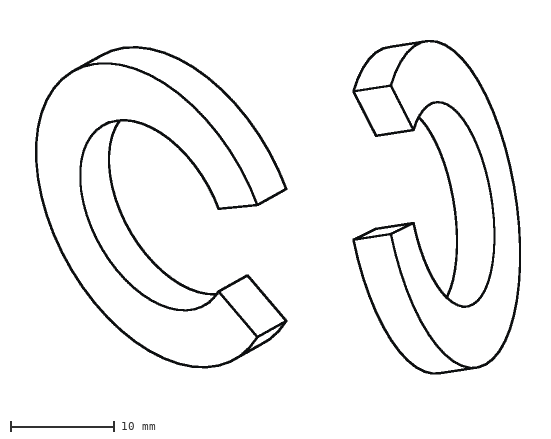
import cadquery as cq
import math

outer_radius = 16.0
inner_radius = 10.0
thickness = 4.0
gap_half_angle = math.radians(28.5)


def ring_point(radius, angle):
    """Point in the ring plane at a radius and an angle from +X."""
    return (radius * math.cos(angle), radius * math.sin(angle))


def open_ring():
    """C-shaped profile extruded evenly to both sides of the XZ plane."""
    return (
        cq.Workplane("XZ")
        .moveTo(*ring_point(outer_radius, gap_half_angle))
        .threePointArc((-outer_radius, 0), ring_point(outer_radius, -gap_half_angle))
        .lineTo(*ring_point(inner_radius, -gap_half_angle))
        .threePointArc((-inner_radius, 0), ring_point(inner_radius, gap_half_angle))
        .close()
        .extrude(thickness / 2, both=True)
    )


result = open_ring()